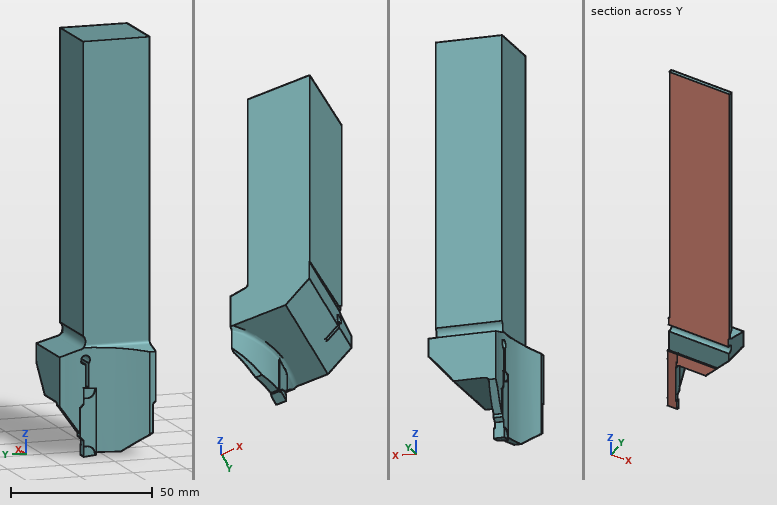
import cadquery as cq
import math


total_height = 150.0
total_width = 31.6
total_depth = 34.0
shank_depth = 24.9
shank_left = 6.8
shank_front_right = 31.2
shank_bottom = 40.5
neck_height = 39.2
neck_radius = 1.4

undercut_top = 43.5
undercut_middle = 41.2
undercut_depth = 0.9
undercut_exit_y = 26.5
undercut_exit_height = 38.7

head_right = 31.0
head_bottom = 19.8
shoulder_angle = 15.0
corner_height = 30.0
corner_x = 21.8
lip_height = 0.6
back_bevel_top = 18.9

arc_center_y = 25.5
flank_x = 6.3
flank_start_y = 2.2
flank_end_y = 32.1
blade_front_y = 1.0
blade_right = 9.5
blade_bottom = 1.4
blade_bevel_y = 11.7
blade_bevel_top = 8.4
blade_seat_height = 8.4
blade_root_radius = 1.5

slit_y = 23.5
slit_width = 1.0
slit_hole_y = 24.2
slit_hole_z = 35.0
slit_hole_radius = 1.6

insert_height = 24.9
insert_front_y = 20.2
insert_back_y = 24.9
insert_ridge_y = 26.2
ridge_end = 5.8
ridge_slope = 1.4
tip_left = 5.8
tip_right = 9.9
tip_height = 3.8
tip_radius = 2.8
tip_front_y = 20.8
tip_relief = 0.5
side_clearance = 0.2


def circle_radius(half_chord, sagitta):
    """Radius of the arc with this rise over this half chord."""
    return (half_chord**2 + sagitta**2) / (2 * sagitta)


def arc_x(radius, vertex_x, y):
    """X on the arc that reaches vertex_x at arc_center_y."""
    return vertex_x - radius + math.sqrt(radius**2 - (y - arc_center_y)**2)


flank_radius = circle_radius(arc_center_y - flank_start_y, flank_x)
outer_radius = circle_radius(arc_center_y - blade_front_y, blade_right)
shoulder_slope = math.tan(math.radians(shoulder_angle))


def front_profile():
    """Shank and head outline in XZ, extruded through the full depth."""
    neck_x = shank_left - neck_radius * (1 - math.sin(math.radians(shoulder_angle)))
    fillet_top = neck_height + neck_radius * math.cos(math.radians(shoulder_angle))
    half_angle = math.radians(90 - shoulder_angle) / 2
    fillet_middle = (
        shank_left - neck_radius * (1 - math.cos(half_angle)),
        fillet_top - neck_radius * math.sin(half_angle),
    )
    return (
        cq.Workplane("XZ")
        .moveTo(0, head_bottom)
        .lineTo(corner_x, head_bottom)
        .lineTo(head_right, corner_height)
        .lineTo(head_right, shank_bottom - lip_height)
        .lineTo(total_width, shank_bottom)
        .lineTo(total_width, total_height)
        .lineTo(shank_left, total_height)
        .lineTo(shank_left, fillet_top)
        .threePointArc(fillet_middle, (neck_x, neck_height))
        .lineTo(0, neck_height - neck_x * shoulder_slope)
        .close()
        .extrude(-total_depth)
    )


def side_profile():
    """Outline of the whole holder in YZ, extruded through the full width."""
    bevel_slope = (blade_bevel_top - blade_bottom) / (blade_bevel_y - blade_front_y)
    undercut_deepest = (shank_depth - undercut_depth, undercut_middle)
    shoulder_back = undercut_exit_height - (total_depth - undercut_exit_y) * shoulder_slope
    return (
        cq.Workplane("YZ")
        .moveTo(0, total_height)
        .lineTo(shank_depth, total_height)
        .lineTo(shank_depth, undercut_top)
        .threePointArc(undercut_deepest, (undercut_exit_y, undercut_exit_height))
        .lineTo(total_depth, shoulder_back)
        .lineTo(total_depth, back_bevel_top)
        .lineTo(insert_ridge_y, blade_seat_height)
        .lineTo(insert_front_y, blade_seat_height)
        .lineTo(insert_front_y, blade_bottom)
        .lineTo(blade_bevel_y, blade_bottom)
        .lineTo(0, blade_bottom + blade_bevel_y * bevel_slope)
        .close()
        .extrude(total_width)
    )


def flank_outline():
    """Start an XY outline with the concave left flank, from front to back."""
    flank_end_x = arc_x(flank_radius, flank_x, flank_end_y)
    return (
        cq.Workplane("XY")
        .moveTo(0, blade_front_y)
        .lineTo(0, flank_start_y)
        .threePointArc((flank_x, arc_center_y), (flank_end_x, flank_end_y))
        .lineTo(flank_end_x, total_depth)
    )


def head_plan():
    return (
        flank_outline()
        .lineTo(total_width, total_depth)
        .lineTo(total_width, shank_depth)
        .lineTo(shank_front_right, 0)
        .lineTo(0, 0)
        .close()
        .extrude(total_height)
    )


def blade_plan():
    outer_end_x = arc_x(outer_radius, blade_right, total_depth)
    return (
        flank_outline()
        .lineTo(outer_end_x, total_depth)
        .threePointArc((blade_right, arc_center_y), (0, blade_front_y))
        .close()
        .extrude(head_bottom)
    )


def blade_root_fillet():
    """Concave ring between the blade's outer face and the head underside, trimmed to the head's plan."""
    center_x = blade_right - outer_radius
    inner_radius = outer_radius - blade_root_radius
    diagonal = blade_root_radius * (1 - math.sqrt(0.5))
    ring = (
        cq.Workplane("XZ", origin=(center_x, arc_center_y, head_bottom))
        .moveTo(inner_radius, 0)
        .lineTo(outer_radius + blade_root_radius, 0)
        .threePointArc((outer_radius + diagonal, -diagonal), (outer_radius, -blade_root_radius))
        .lineTo(inner_radius, -blade_root_radius)
        .close()
        .revolve(360, (0, 0), (0, 1))
    )
    return ring.intersect(head_plan())


def clamping_slit():
    slit_length = slit_hole_z - insert_height
    slit = cq.Workplane("XY").box(total_width, slit_width, slit_length, centered=(False, True, False))
    slit = slit.translate((0, slit_y, insert_height))
    hole = (
        cq.Workplane("YZ")
        .center(slit_hole_y, slit_hole_z)
        .circle(slit_hole_radius)
        .extrude(total_width)
    )
    return slit.union(hole)


def insert_body():
    """Plate with relieved ends and a wider middle length."""
    ridge_top = insert_height - ridge_end
    outline = [
        (insert_back_y, 0),
        (insert_back_y, ridge_end),
        (insert_ridge_y, ridge_end + ridge_slope),
        (insert_ridge_y, ridge_top - ridge_slope),
        (insert_back_y, ridge_top),
        (insert_back_y, insert_height),
        (insert_front_y, insert_height - tip_relief),
        (insert_front_y, tip_relief),
    ]
    left = tip_left + side_clearance
    return cq.Workplane("YZ", origin=(left, 0, 0)).polyline(outline).close().extrude(blade_right - left)


def cutting_tip():
    """Wider cutting end at the bottom of the insert, rounded towards the front."""
    round_y = tip_front_y + tip_radius
    diagonal = tip_radius * math.sqrt(0.5)
    round_z = tip_height - tip_radius
    relief_z = tip_relief * (insert_back_y - tip_front_y) / (insert_back_y - insert_front_y)
    return (
        cq.Workplane("YZ", origin=(tip_left, 0, 0))
        .moveTo(insert_back_y, 0)
        .lineTo(insert_back_y, tip_height)
        .lineTo(round_y, tip_height)
        .threePointArc((round_y - diagonal, round_z + diagonal), (tip_front_y, round_z))
        .lineTo(tip_front_y, relief_z)
        .close()
        .extrude(tip_right - tip_left)
    )


def make_insert():
    lower_tip = cutting_tip()
    upper_tip = lower_tip.mirror("XY", (0, 0, insert_height / 2))
    return insert_body().union(lower_tip).union(upper_tip)


def make_holder(insert):
    head = front_profile().intersect(head_plan())
    body = head.union(blade_plan()).union(blade_root_fillet())
    return body.intersect(side_profile()).cut(clamping_slit()).cut(insert)


insert = make_insert()
holder = make_holder(insert)

result = cq.Compound.makeCompound([holder.val(), insert.val()])